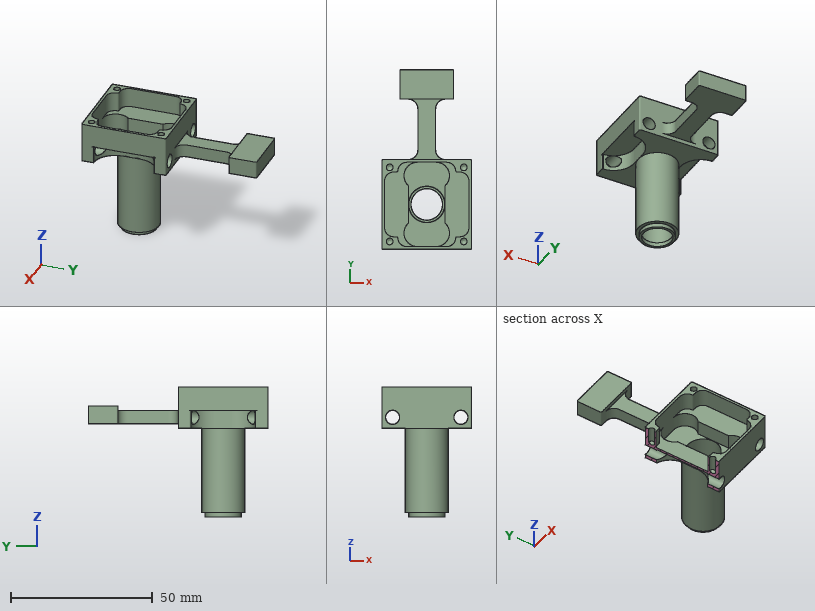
import cadquery as cq
import math

HOUSING_SIDE = 31.75
HOUSING_HEIGHT = 14.7
CORNER_RADIUS = 0.475

POCKET_SIDE = 29.8
POCKET_FLOOR_Z = 7.5
POST_INNER_X = 10.2
POST_INNER_Y = 11.4
POCKET_RADIUS = 3.2
POST_RADIUS = 0.6

WELL_FLOOR_Z = 1.6
WELL_NECK_WIDTH = 12.8
WELL_END_LENGTH = 16.05
WELL_END_RADIUS = 4.75

TOTAL_HEIGHT = 46.05
TUBE_DIAMETER = 15.25
TIP_DIAMETER = 12.9
TIP_LENGTH = 1.6
BORE_DIAMETER = 11.05
COUNTERBORE_DIAMETER = 12.7
COUNTERBORE_BOTTOM_Z = TIP_LENGTH + HOUSING_HEIGHT - TOTAL_HEIGHT

SCREW_HOLE_OFFSET = 13.1
SCREW_HOLE_DIAMETER = 2.35
SCREW_HOLE_DEPTH = 6.35
DRILL_POINT_ANGLE = 118.0

CROSS_HOLE_OFFSET = 12.05
CROSS_HOLE_DIAMETER = 4.9
CROSS_HOLE_Z = 3.9

RECESS_HEIGHT = 6.35
RECESS_THROAT_WIDTH = 22.75
RECESS_FLAT_WIDTH = 6.35
RECESS_LIP_RADIUS = 0.6

OVERALL_LENGTH = 63.5
GRIP_WIDTH = 19.05
GRIP_LENGTH = 10.5
GRIP_HEIGHT = 6.35
HANDLE_BOTTOM_Z = 1.6
ARM_WIDTH = 6.35
ARM_HEIGHT = 4.75
ARM_FILLET = 3.35

HALF_SIDE = HOUSING_SIDE / 2


def box_on(width, length, height, bottom_z, center_y=0.0):
    """Box centred on X = 0, standing on the plane Z = bottom_z."""
    base = cq.Workplane("XY", origin=(0, center_y, bottom_z))
    return base.rect(width, length).extrude(height)


def make_housing():
    block = box_on(HOUSING_SIDE, HOUSING_SIDE, HOUSING_HEIGHT, 0)
    return block.edges("|Z").fillet(CORNER_RADIUS)


def make_tube():
    tip_bottom_z = HOUSING_HEIGHT - TOTAL_HEIGHT
    tip = cq.Workplane("XY", origin=(0, 0, tip_bottom_z)).circle(TIP_DIAMETER / 2).extrude(TIP_LENGTH)
    barrel_bottom_z = tip_bottom_z + TIP_LENGTH
    barrel = (
        cq.Workplane("XY", origin=(0, 0, barrel_bottom_z))
        .circle(TUBE_DIAMETER / 2)
        .extrude(WELL_FLOOR_Z - barrel_bottom_z)
    )
    return barrel.union(tip)


def make_handle():
    grip_center_y = OVERALL_LENGTH - HALF_SIDE - GRIP_LENGTH / 2
    grip = box_on(GRIP_WIDTH, GRIP_LENGTH, GRIP_HEIGHT, HANDLE_BOTTOM_Z, grip_center_y)
    grip = grip.edges("|Z").fillet(CORNER_RADIUS)

    half_arm = ARM_WIDTH / 2
    root_half = half_arm + ARM_FILLET
    root_y = HALF_SIDE
    end_y = OVERALL_LENGTH - HALF_SIDE - GRIP_LENGTH
    arm = (
        cq.Workplane("XY", origin=(0, 0, HANDLE_BOTTOM_Z))
        .moveTo(-root_half, root_y)
        .lineTo(root_half, root_y)
        .radiusArc((half_arm, root_y + ARM_FILLET), ARM_FILLET)
        .lineTo(half_arm, end_y - ARM_FILLET)
        .radiusArc((root_half, end_y), ARM_FILLET)
        .lineTo(-root_half, end_y)
        .radiusArc((-half_arm, end_y - ARM_FILLET), ARM_FILLET)
        .lineTo(-half_arm, root_y + ARM_FILLET)
        .radiusArc((-root_half, root_y), ARM_FILLET)
        .close()
        .extrude(ARM_HEIGHT)
    )
    return grip.union(arm)


def make_upper_pocket():
    """Cross-shaped cavity: rounded outer corners, small rounds on the post corners."""
    depth = HOUSING_HEIGHT - POCKET_FLOOR_Z
    lengthwise = box_on(2 * POST_INNER_X, POCKET_SIDE, depth, POCKET_FLOOR_Z)
    crosswise = box_on(POCKET_SIDE, 2 * POST_INNER_Y, depth, POCKET_FLOOR_Z)
    lengthwise = lengthwise.edges("|Z").fillet(POCKET_RADIUS)
    crosswise = crosswise.edges("|Z").fillet(POCKET_RADIUS)
    post_corners = cq.selectors.BoxSelector(
        (-POST_INNER_X - POST_RADIUS, -POST_INNER_Y - POST_RADIUS, POCKET_FLOOR_Z),
        (POST_INNER_X + POST_RADIUS, POST_INNER_Y + POST_RADIUS, HOUSING_HEIGHT),
    )
    return lengthwise.union(crosswise).edges("|Z").edges(post_corners).fillet(POST_RADIUS)


def make_well():
    depth = HOUSING_HEIGHT - WELL_FLOOR_Z
    end_center_y = POCKET_SIDE / 2 - WELL_END_RADIUS
    well = box_on(WELL_NECK_WIDTH, 2 * end_center_y, depth, WELL_FLOOR_Z)
    ends = (
        cq.Workplane("XY", origin=(0, 0, WELL_FLOOR_Z))
        .pushPoints([(0, -end_center_y), (0, end_center_y)])
        .slot2D(WELL_END_LENGTH, 2 * WELL_END_RADIUS)
        .extrude(depth)
    )
    return well.union(ends)


def make_bore():
    bore = (
        cq.Workplane("XY", origin=(0, 0, HOUSING_HEIGHT - TOTAL_HEIGHT))
        .circle(BORE_DIAMETER / 2)
        .extrude(TOTAL_HEIGHT)
    )
    counterbore = (
        cq.Workplane("XY", origin=(0, 0, COUNTERBORE_BOTTOM_Z))
        .circle(COUNTERBORE_DIAMETER / 2)
        .extrude(HOUSING_HEIGHT - COUNTERBORE_BOTTOM_Z)
    )
    return bore.union(counterbore)


def make_screw_holes():
    radius = SCREW_HOLE_DIAMETER / 2
    point_length = radius / math.tan(math.radians(DRILL_POINT_ANGLE / 2))
    shoulder_z = HOUSING_HEIGHT - SCREW_HOLE_DEPTH
    drill = (
        cq.Workplane("XZ")
        .moveTo(0, HOUSING_HEIGHT)
        .lineTo(radius, HOUSING_HEIGHT)
        .lineTo(radius, shoulder_z)
        .lineTo(0, shoulder_z - point_length)
        .close()
        .revolve(360, (0, 0), (0, 1))
    )
    holes = cq.Workplane("XY")
    for x in (-SCREW_HOLE_OFFSET, SCREW_HOLE_OFFSET):
        for y in (-SCREW_HOLE_OFFSET, SCREW_HOLE_OFFSET):
            holes = holes.add(drill.translate((x, y, 0)))
    return holes.combine()


def make_cross_holes():
    return (
        cq.Workplane("XZ", origin=(0, HALF_SIDE, 0))
        .pushPoints([(-CROSS_HOLE_OFFSET, CROSS_HOLE_Z), (CROSS_HOLE_OFFSET, CROSS_HOLE_Z)])
        .circle(CROSS_HOLE_DIAMETER / 2)
        .extrude(HOUSING_SIDE)
    )


def make_flank_recess():
    """Recess in the -X flank: rounded lips, quarter-round corners and a flat end by the tube."""
    half_throat = RECESS_THROAT_WIDTH / 2
    half_flat = RECESS_FLAT_WIDTH / 2
    corner_radius = half_throat - half_flat
    end_x = -TUBE_DIAMETER / 2
    corner_start_x = end_x - corner_radius
    lip_start_x = -HALF_SIDE + RECESS_LIP_RADIUS
    lip_end_y = half_throat + RECESS_LIP_RADIUS
    return (
        cq.Workplane("XY")
        .moveTo(-HALF_SIDE, -lip_end_y)
        .radiusArc((lip_start_x, -half_throat), RECESS_LIP_RADIUS)
        .lineTo(corner_start_x, -half_throat)
        .radiusArc((end_x, -half_flat), -corner_radius)
        .lineTo(end_x, half_flat)
        .radiusArc((corner_start_x, half_throat), -corner_radius)
        .lineTo(lip_start_x, half_throat)
        .radiusArc((-HALF_SIDE, lip_end_y), RECESS_LIP_RADIUS)
        .close()
        .extrude(RECESS_HEIGHT)
    )


flank_recess = make_flank_recess()
cavities = [
    make_upper_pocket(),
    make_well(),
    make_screw_holes(),
    make_cross_holes(),
    flank_recess,
    flank_recess.mirror("YZ"),
]

result = make_housing().union(make_handle())
for cavity in cavities:
    result = result.cut(cavity)
result = result.union(make_tube()).cut(make_bore())